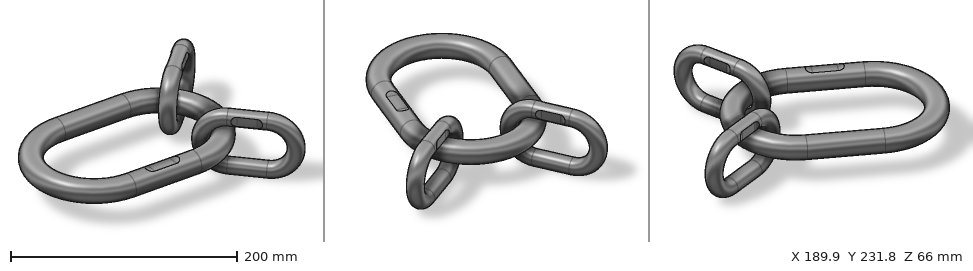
import cadquery as cq
import math

MASTER_ROD = 22.0
MASTER_INNER_WIDTH = 90.0
MASTER_INNER_LENGTH = 159.8

SIDE_ROD = 16.0
SIDE_INNER_WIDTH = 34.0
SIDE_INNER_LENGTH = 70.0
SIDE_ANGLES = (45, 135)

MASTER_FLAT_DEPTH = 1.5
MASTER_FLAT_LENGTH = 23.2
MASTER_FLAT_OVERALL = 34.8
SIDE_FLAT_DEPTH = 1.5
SIDE_FLAT_LENGTH = 18.0
SIDE_FLAT_OVERALL = 28.5


def oval_loop(inner_length, inner_width, rod):
    """Round rod bent into an oval in the XY plane, centred on the origin, long axis along X."""
    half_straight = (inner_length - inner_width) / 2
    bend_radius = (inner_width + rod) / 2
    path = (
        cq.Workplane("XY")
        .moveTo(-half_straight, -bend_radius)
        .lineTo(half_straight, -bend_radius)
        .threePointArc((half_straight + bend_radius, 0), (half_straight, bend_radius))
        .lineTo(-half_straight, bend_radius)
        .threePointArc((-half_straight - bend_radius, 0), (-half_straight, -bend_radius))
        .close()
    )
    profile_plane = cq.Plane(
        origin=(-half_straight, -bend_radius, 0), xDir=(0, 1, 0), normal=(1, 0, 0)
    )
    return cq.Workplane(profile_plane).circle(rod / 2).sweep(path)


def flat_cutter(rod, depth, length, overall, rod_y):
    """Cutter for a flat on the +Z side of the rod straight at rod_y."""
    top = rod / 2
    floor = top - depth
    floor_end = length / 2
    cut_end = overall / 2
    run = cut_end - floor_end
    arc_radius = (run**2 + depth**2) / (2 * depth)
    half_sweep = math.asin(run / arc_radius) / 2
    arc_mid_x = floor_end + arc_radius * math.sin(half_sweep)
    arc_mid_z = floor + arc_radius * (1 - math.cos(half_sweep))
    return (
        cq.Workplane("XZ", origin=(0, rod_y, 0))
        .moveTo(-floor_end, floor)
        .lineTo(floor_end, floor)
        .threePointArc((arc_mid_x, arc_mid_z), (cut_end, top))
        .lineTo(cut_end, top + depth)
        .lineTo(-cut_end, top + depth)
        .lineTo(-cut_end, top)
        .threePointArc((-arc_mid_x, arc_mid_z), (-floor_end, floor))
        .close()
        .extrude(rod / 2, both=True)
    )


def make_master_link():
    loop = oval_loop(MASTER_INNER_LENGTH, MASTER_INNER_WIDTH, MASTER_ROD)
    rod_y = -(MASTER_INNER_WIDTH + MASTER_ROD) / 2
    flat = flat_cutter(MASTER_ROD, MASTER_FLAT_DEPTH, MASTER_FLAT_LENGTH, MASTER_FLAT_OVERALL, rod_y)
    return loop.cut(flat).rotate((0, 0, 0), (0, 0, 1), 90)


def make_side_link(angle):
    loop = oval_loop(SIDE_INNER_LENGTH, SIDE_INNER_WIDTH, SIDE_ROD)
    rod_y = (SIDE_INNER_WIDTH + SIDE_ROD) / 2
    flat = flat_cutter(SIDE_ROD, SIDE_FLAT_DEPTH, SIDE_FLAT_LENGTH, SIDE_FLAT_OVERALL, rod_y)
    opposite_flat = flat.mirror("XY")
    upright = loop.cut(flat).cut(opposite_flat).rotate((0, 0, 0), (1, 0, 0), 90)

    reach = (MASTER_INNER_WIDTH + SIDE_INNER_LENGTH) / 2
    bend_centre_y = (MASTER_INNER_LENGTH - MASTER_INNER_WIDTH) / 2
    x = reach * math.cos(math.radians(angle))
    y = bend_centre_y + reach * math.sin(math.radians(angle))
    return upright.rotate((0, 0, 0), (0, 0, 1), angle).translate((x, y, 0))


master_link = make_master_link()
side_links = [make_side_link(angle) for angle in SIDE_ANGLES]

result = cq.Compound.makeCompound([master_link.val(), *[link.val() for link in side_links]])